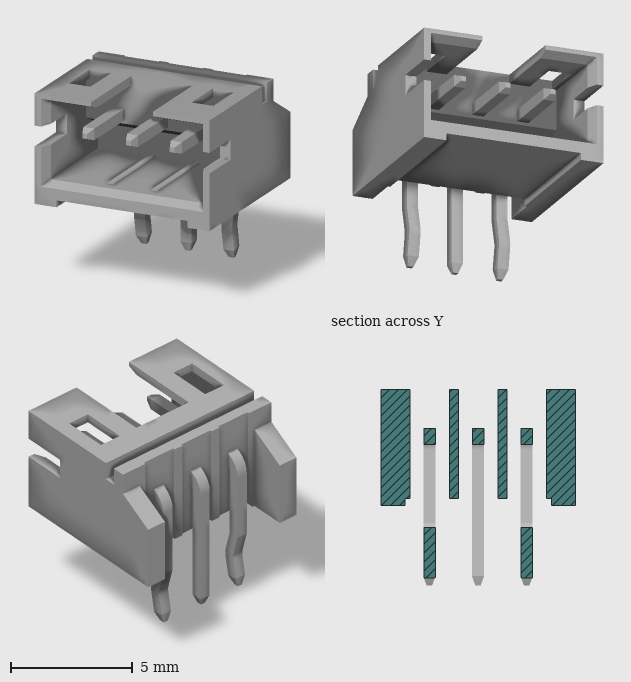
import cadquery as cq


width = 8.0
depth = 7.6
height = 4.8
wall_back = 6.0
slope_low = 2.88
slope_high = 3.83
arm_width = 0.9
foot_width = 1.005
foot_height = 0.3
groove_front = 4.92
groove_width = 0.5
groove_depth = 0.8

cavity_width = 7.0
cavity_bottom = 1.0
cavity_top = 4.41
cavity_back = 3.8
flare = 0.2
flare_depth = 0.5
undercut_height = 2.17
undercut_top = 2.665
undercut_slope_length = 1.0
undercut_back = 4.93

window_width = 2.82
latch_width = 1.005
latch_length = 2.025
latch_offset = 2.81
side_slot_bottom = 2.5
side_slot_top = 3.4
side_slot_depth = 2.0

pitch = 2.0
pin_places = [-pitch, 0, pitch]
pin_size = 0.5
pin_bottom = 2.8
pin_back = 6.505
bend_radius = 2 * pin_size
tip_size = 0.22
tip_length = 0.4
pin_front = 0.6
overall_height = 8.1
leg_end = height - overall_height
knee_start = -0.71
knee_front = 5.7
knee_height = -1.83
knee_radius = 0.89
kinked_end_front = (5.91, -2.92)
kinked_end_back = (6.4, -2.83)

rib_radius = 0.145
rib_front = 0.96
relief_width = 1.595
relief_depth = 0.1

pin_front_face = pin_back - pin_size
pin_middle = pin_back - pin_size / 2
pin_top = pin_bottom + pin_size
pin_axis = pin_bottom + pin_size / 2
leg_tip = [(pin_middle - tip_size / 2, leg_end), (pin_middle + tip_size / 2, leg_end)]


def box(x_range, y_range, z_range):
    """Box between two limits along each axis."""
    x0, x1 = x_range
    y0, y1 = y_range
    z0, z1 = z_range
    return cq.Workplane("XY").box(x1 - x0, y1 - y0, z1 - z0, centered=False).translate((x0, y0, z0))


def wide_box(full_width, y_range, z_range, x=0):
    """Box centred on x."""
    return box((x - full_width / 2, x + full_width / 2), y_range, z_range)


def side_plate(outline, full_width, x=0):
    """Closed (y, z) outline extruded along X, centred on x."""
    return cq.Workplane("YZ", origin=(x, 0, 0)).polyline(outline).close().extrude(full_width / 2, both=True)


def housing_block():
    outline = [
        (0, 0),
        (depth, 0),
        (depth, slope_low),
        (wall_back, slope_high),
        (wall_back, height),
        (0, height),
    ]
    block = side_plate(outline, width)
    block = block.cut(wide_box(width - 2 * arm_width, (wall_back, depth), (0, height)))
    block = block.cut(wide_box(width - 2 * foot_width, (0, depth), (0, foot_height)))
    groove = wide_box(width, (groove_front, groove_front + groove_width), (height - groove_depth, height))
    block = block.cut(groove)
    for x in pin_places:
        block = block.cut(wide_box(relief_width, (wall_back - relief_depth, wall_back), (0, height), x))
    return block


def flared_mouth():
    middle = (cavity_bottom + cavity_top) / 2
    inner_height = cavity_top - cavity_bottom
    return (
        cq.Workplane("XZ", origin=(0, 0, middle))
        .rect(cavity_width + 2 * flare, inner_height + 2 * flare)
        .workplane(offset=-flare_depth)
        .rect(cavity_width, inner_height)
        .loft(ruled=True)
    )


def cavity():
    """Flared cavity whose lower part reaches further back under a sloping roof."""
    outline = [
        (0, cavity_bottom),
        (undercut_back, cavity_bottom),
        (undercut_back, undercut_height),
        (cavity_back + undercut_slope_length, undercut_height),
        (cavity_back, undercut_top),
        (cavity_back, cavity_top),
        (0, cavity_top),
    ]
    return side_plate(outline, cavity_width).union(flared_mouth())


def openings():
    through_roof = (cavity_bottom, height)
    cuts = wide_box(window_width, (0, cavity_back), through_roof)
    for x in (-latch_offset, latch_offset):
        cuts = cuts.union(wide_box(latch_width, (cavity_back - latch_length, cavity_back), through_roof, x))
    return cuts.union(wide_box(width, (0, side_slot_depth), (side_slot_bottom, side_slot_top)))


def floor_rib(x):
    rib = cq.Workplane("XZ", origin=(x, rib_front, cavity_bottom)).circle(rib_radius)
    return rib.extrude(rib_front - undercut_back)


def tapered_tip(x, base, end):
    """Tip narrowing from the pin to its end; base and end are pairs of (y, z) edges."""

    def section(edges, full_width):
        (y0, z0), (y1, z1) = edges
        left = x - full_width / 2
        right = x + full_width / 2
        corners = [(left, y0, z0), (right, y0, z0), (right, y1, z1), (left, y1, z1)]
        return cq.Wire.makePolygon([cq.Vector(*corner) for corner in corners], close=True)

    return cq.Workplane(cq.Solid.makeLoft([section(base, pin_size), section(end, tip_size)], True))


def round_corner(pin, x, y, z, radius):
    """Round the edge along X that passes through (x, y, z)."""
    return pin.edges(cq.selectors.NearestToPointSelector((x, y, z))).fillet(radius)


def bent_pin(x, leg_outline):
    """Square pin along the cavity, bent down into the leg given from its front edge to its back edge."""
    taper_start = pin_front + tip_length
    outline = [
        (taper_start, pin_top),
        (taper_start, pin_bottom),
        (pin_front_face, pin_bottom),
        *leg_outline,
        (pin_back, pin_top),
    ]
    pin = side_plate(outline, pin_size, x)
    pin = round_corner(pin, x, pin_back, pin_top, bend_radius)
    pin = round_corner(pin, x, pin_front_face, pin_bottom, bend_radius - pin_size)
    base = [(taper_start, pin_bottom), (taper_start, pin_top)]
    end = [(pin_front, pin_axis - tip_size / 2), (pin_front, pin_axis + tip_size / 2)]
    return pin.union(tapered_tip(x, base, end))


def straight_pin(x):
    taper_start = leg_end + tip_length
    base = [(pin_front_face, taper_start), (pin_back, taper_start)]
    return bent_pin(x, base).union(tapered_tip(x, base, leg_tip))


def kinked_pin(x):
    """Pin whose leg has a rounded knee towards the front, to grip its hole."""
    knee_back = knee_front + pin_size
    leg_outline = [
        (pin_front_face, knee_start),
        (knee_front, knee_height),
        kinked_end_front,
        kinked_end_back,
        (knee_back, knee_height),
        (pin_back, knee_start),
    ]
    pin = bent_pin(x, leg_outline)
    pin = round_corner(pin, x, knee_front, knee_height, knee_radius)
    pin = round_corner(pin, x, knee_back, knee_height, knee_radius - pin_size)
    return pin.union(tapered_tip(x, [kinked_end_front, kinked_end_back], leg_tip))


result = housing_block().cut(cavity()).cut(openings())
for rib_x in (-pitch / 2, pitch / 2):
    result = result.union(floor_rib(rib_x))
result = result.union(straight_pin(0))
for pin_x in (-pitch, pitch):
    result = result.union(kinked_pin(pin_x))